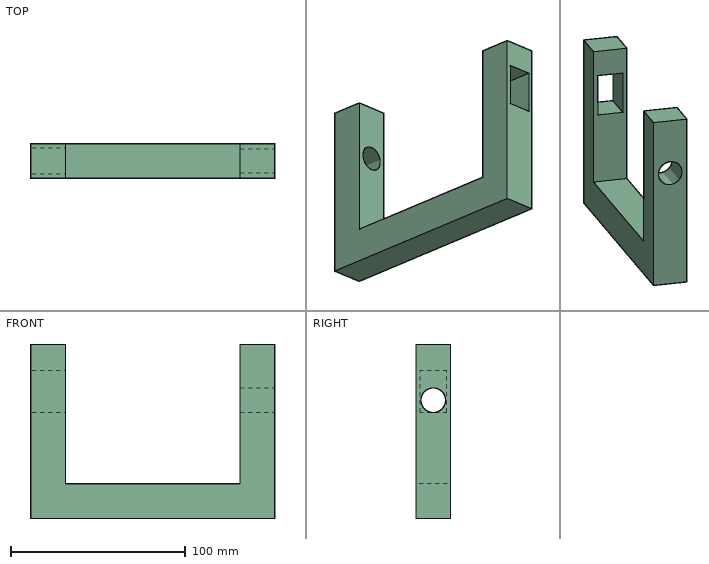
import cadquery as cq

length = 140.0
height = 100.0
bar_width = 20.0

hole_diameter = 14.0
hole_drop = 32.0

window_width = 15.0
window_drop = 15.0

hole_axis_z = height - hole_drop
window_bottom_z = hole_axis_z - hole_diameter / 2
window_height = height - window_drop - window_bottom_z


def make_frame():
    """U-shaped frame, centred on X and Y, resting on Z = 0."""
    block = cq.Workplane("XY").box(length, bar_width, height, centered=(True, True, False))
    opening = (
        cq.Workplane("XY", origin=(0, 0, bar_width))
        .box(length - 2 * bar_width, bar_width, height - bar_width, centered=(True, True, False))
    )
    return block.cut(opening)


def make_hole():
    """Cylinder crossing the +X arm along X."""
    return (
        cq.Workplane("YZ", origin=(length / 2 - bar_width, 0, hole_axis_z))
        .circle(hole_diameter / 2)
        .extrude(bar_width)
    )


def make_window():
    """Rectangular block crossing the -X arm along X."""
    return (
        cq.Workplane("XY", origin=(-length / 2, 0, window_bottom_z))
        .box(bar_width, window_width, window_height, centered=(False, True, False))
    )


result = make_frame().cut(make_hole()).cut(make_window())